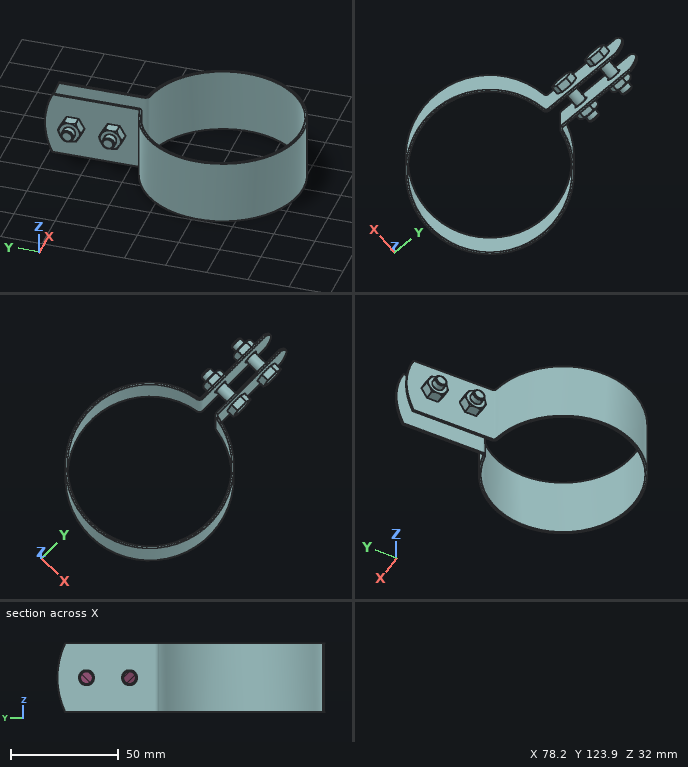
import cadquery as cq
import math

ring_outer_radius = 39.09
strap_thickness = 1.0
strap_width = 32.0
total_length = 123.9
ear_gap = 9.0
bend_inner_radius = 1.2
ear_end_rise = 3.6

ear_tip_y = total_length - ring_outer_radius
ring_inner_radius = ring_outer_radius - strap_thickness
bend_outer_radius = bend_inner_radius + strap_thickness
ear_inner_x = ear_gap / 2
ear_outer_x = ear_inner_x + strap_thickness

bolt_diameter = 6.0
bolt_tip_diameter = 5.0
bolt_length = 20.0
bolt_spacing = 20.0
ear_hole_diameter = 7.0
across_flats = 10.0
head_thickness = 4.0
nut_thickness = 5.2
nut_chamfer = 0.7
first_bolt_from_tip = 13.5

across_corners = across_flats / math.cos(math.radians(30))
bolt_tip_chamfer = (bolt_diameter - bolt_tip_diameter) / 2
bolt_count = 2
bolt_positions = [ear_tip_y - first_bolt_from_tip - i * bolt_spacing for i in range(bolt_count)]


def x_plane(x, y):
    """Plane facing +X, with its local axes along Y and Z."""
    return cq.Workplane(cq.Plane(origin=(x, y, 0), xDir=(0, 1, 0), normal=(1, 0, 0)))


def make_band_blank():
    """Extrude the bent strap; each bend is tangent to the ring and to its ear."""
    bend_x = ear_outer_x + bend_inner_radius
    center_distance = ring_outer_radius + bend_inner_radius
    bend_y = math.sqrt(center_distance**2 - bend_x**2)
    ring_angle = math.atan2(bend_y, bend_x)
    middle_angle = math.pi + ring_angle / 2

    def ring_end(radius):
        return radius * math.cos(ring_angle), radius * math.sin(ring_angle)

    def bend_middle(radius):
        return bend_x + radius * math.cos(middle_angle), bend_y + radius * math.sin(middle_angle)

    def mirrored(point):
        return -point[0], point[1]

    outer_end = ring_end(ring_outer_radius)
    inner_end = ring_end(ring_inner_radius)
    inner_bend = bend_middle(bend_inner_radius)
    outer_bend = bend_middle(bend_outer_radius)
    return (
        cq.Workplane("XY", origin=(0, 0, -strap_width / 2))
        .moveTo(ear_outer_x, ear_tip_y)
        .lineTo(ear_outer_x, bend_y)
        .threePointArc(inner_bend, outer_end)
        .threePointArc((0, -ring_outer_radius), mirrored(outer_end))
        .threePointArc(mirrored(inner_bend), (-ear_outer_x, bend_y))
        .lineTo(-ear_outer_x, ear_tip_y)
        .lineTo(-ear_inner_x, ear_tip_y)
        .lineTo(-ear_inner_x, bend_y)
        .threePointArc(mirrored(outer_bend), mirrored(inner_end))
        .threePointArc((0, -ring_inner_radius), inner_end)
        .threePointArc(outer_bend, (ear_inner_x, bend_y))
        .lineTo(ear_inner_x, ear_tip_y)
        .close()
        .extrude(strap_width)
    )


def make_side_outline():
    """Block with a rounded +Y end that trims both ear tips."""
    half_width = strap_width / 2
    corner_y = ear_tip_y - ear_end_rise
    return (
        x_plane(-ring_outer_radius, 0)
        .moveTo(-ring_outer_radius, -half_width)
        .lineTo(corner_y, -half_width)
        .threePointArc((ear_tip_y, 0), (corner_y, half_width))
        .lineTo(-ring_outer_radius, half_width)
        .close()
        .extrude(2 * ring_outer_radius)
    )


def make_band():
    band = make_band_blank().intersect(make_side_outline())
    for y in bolt_positions:
        hole = x_plane(-ear_outer_x, y).circle(ear_hole_diameter / 2).extrude(2 * ear_outer_x)
        band = band.cut(hole)
    return band


def make_bolt(y):
    """Hex bolt whose head bears on the +X ear."""
    head = x_plane(ear_outer_x, y).polygon(6, across_corners).extrude(head_thickness)
    shank = (
        x_plane(ear_outer_x, y)
        .circle(bolt_diameter / 2)
        .extrude(-bolt_length)
        .faces("<X")
        .chamfer(bolt_tip_chamfer)
    )
    return head.union(shank)


def make_nut(y):
    """Hex nut on the -X ear, with the corners of its free face turned down."""
    hexagon = x_plane(-ear_outer_x, y).polygon(6, across_corners).extrude(-nut_thickness)
    turned_blank = (
        x_plane(-ear_outer_x, y)
        .circle(across_corners / 2)
        .extrude(-nut_thickness)
        .faces("<X")
        .chamfer(nut_chamfer)
    )
    bore = x_plane(-ear_outer_x, y).circle(bolt_diameter / 2).extrude(-nut_thickness)
    return hexagon.intersect(turned_blank).cut(bore)


band = make_band()
bolts = [make_bolt(y).val() for y in bolt_positions]
nuts = [make_nut(y).val() for y in bolt_positions]

result = cq.Compound.makeCompound([band.val(), *bolts, *nuts])